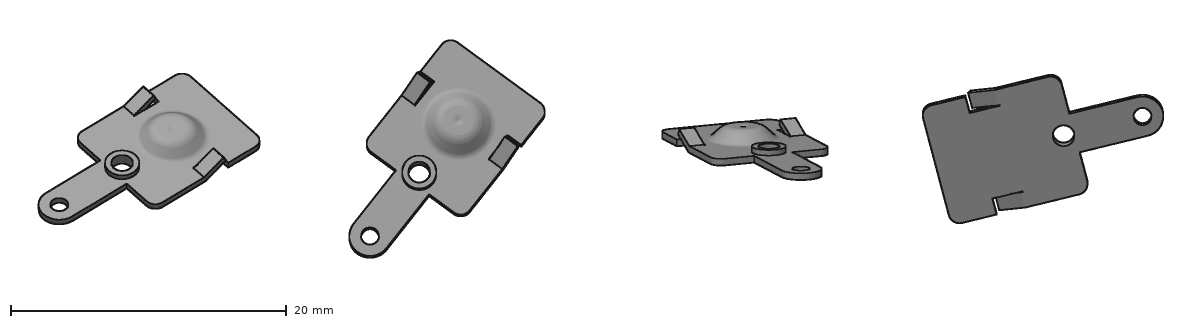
import cadquery as cq
import math


sheet_thickness = 0.51
plate_width = 9.19
overall_length = 16.99
plate_length = 10.38
plate_back_y = 4.86
corner_radius = 0.82
tail_width = 3.02
tail_hole_diameter = 1.29
plate_front_y = plate_back_y - plate_length
tail_radius = tail_width / 2
tail_center_y = plate_back_y - overall_length + tail_radius

collar_center_y = -4.71
collar_diameter = 2.49
collar_hole_diameter = 1.57
collar_height = 0.41

overall_height = 1.45
dome_slope = math.radians(42.4)
dome_base_radius = 2.71
dome_flat_radius = 1.11
base_blend_radius = 0.55
dimple_rim_radius = 0.44
dimple_cup_radius = 0.16
dimple_slope = math.radians(20)

notch_width = 1.25
side_gap = 0.06
tongue_width = notch_width - side_gap
notch_back_y = 1.485
bend_y = -0.79
tongue_length = 2.05
tongue_angle = math.radians(25)


def make_sheet():
    """Flat plate with rounded corners and a round-ended tail."""
    plate = (
        cq.Workplane("XY")
        .center(0, (plate_back_y + plate_front_y) / 2)
        .rect(plate_width, plate_length)
        .extrude(sheet_thickness)
        .edges("|Z")
        .fillet(corner_radius)
    )
    tail = (
        cq.Workplane("XY")
        .moveTo(-tail_radius, collar_center_y)
        .lineTo(-tail_radius, tail_center_y)
        .threePointArc((0, tail_center_y - tail_radius), (tail_radius, tail_center_y))
        .lineTo(tail_radius, collar_center_y)
        .close()
        .extrude(sheet_thickness)
    )
    return plate.union(tail)


def make_dome():
    """Cone blended into the sheet at its foot and into a flat, dimpled top."""
    rise = overall_height - sheet_thickness
    run = dome_base_radius - dome_flat_radius
    half_slope_tangent = math.tan(dome_slope / 2)
    top_blend_radius = (run - rise / math.tan(dome_slope)) / half_slope_tangent - base_blend_radius

    def along_base_blend(angle):
        return (
            dome_base_radius - base_blend_radius * math.sin(angle),
            sheet_thickness + base_blend_radius * (1 - math.cos(angle)),
        )

    def along_top_blend(angle):
        return (
            dome_flat_radius + top_blend_radius * math.sin(angle),
            overall_height - top_blend_radius * (1 - math.cos(angle)),
        )

    rim_blend_radius = (dimple_rim_radius - dimple_cup_radius) / math.sin(dimple_slope)
    cup_blend_radius = dimple_cup_radius / math.sin(dimple_slope)
    dimple_depth = (rim_blend_radius + cup_blend_radius) * (1 - math.cos(dimple_slope))

    def along_rim(angle):
        return (
            dimple_rim_radius - rim_blend_radius * math.sin(angle),
            overall_height - rim_blend_radius * (1 - math.cos(angle)),
        )

    def along_cup(angle):
        return (
            cup_blend_radius * math.sin(angle),
            overall_height - dimple_depth + cup_blend_radius * (1 - math.cos(angle)),
        )

    profile = (
        cq.Workplane("XZ")
        .moveTo(0, 0)
        .lineTo(dome_base_radius, 0)
        .lineTo(dome_base_radius, sheet_thickness)
        .threePointArc(along_base_blend(dome_slope / 2), along_base_blend(dome_slope))
        .lineTo(*along_top_blend(dome_slope))
        .threePointArc(along_top_blend(dome_slope / 2), along_top_blend(0))
        .lineTo(dimple_rim_radius, overall_height)
        .threePointArc(along_rim(dimple_slope / 2), along_rim(dimple_slope))
        .threePointArc(along_cup(dimple_slope / 2), along_cup(0))
        .close()
    )
    return profile.revolve(360, (0, 0, 0), (0, 1, 0))


def make_collar():
    return (
        cq.Workplane("XY")
        .center(0, collar_center_y)
        .circle(collar_diameter / 2)
        .extrude(sheet_thickness + collar_height)
    )


def make_hole(center_y, diameter):
    return (
        cq.Workplane("XY")
        .center(0, center_y)
        .circle(diameter / 2)
        .extrude(overall_height)
    )


def make_notch(side):
    """Opening in the plate edge around a tongue; side is -1 or +1 along X."""
    return (
        cq.Workplane("XY")
        .center(side * (plate_width - notch_width) / 2, (notch_back_y + bend_y) / 2)
        .rect(notch_width, notch_back_y - bend_y)
        .extrude(sheet_thickness)
    )


def make_tongue(side):
    """Tongue bent up about the sheet's top edge at bend_y, with a round underside to the bend."""
    def below_bend(angle):
        return (
            bend_y + sheet_thickness * math.sin(angle),
            sheet_thickness - sheet_thickness * math.cos(angle),
        )

    heel = below_bend(tongue_angle)
    tip_y = tongue_length * math.cos(tongue_angle)
    tip_z = tongue_length * math.sin(tongue_angle)
    inner_x = plate_width / 2 - tongue_width
    start_x = inner_x if side > 0 else -plate_width / 2
    return (
        cq.Workplane("YZ", origin=(start_x, 0, 0))
        .moveTo(bend_y, sheet_thickness)
        .lineTo(bend_y, 0)
        .threePointArc(below_bend(tongue_angle / 2), heel)
        .lineTo(heel[0] + tip_y, heel[1] + tip_z)
        .lineTo(bend_y + tip_y, sheet_thickness + tip_z)
        .close()
        .extrude(tongue_width)
    )


result = make_sheet().union(make_dome()).union(make_collar())
result = result.cut(make_hole(collar_center_y, collar_hole_diameter))
result = result.cut(make_hole(tail_center_y, tail_hole_diameter))
for side in (-1, 1):
    result = result.cut(make_notch(side)).union(make_tongue(side))